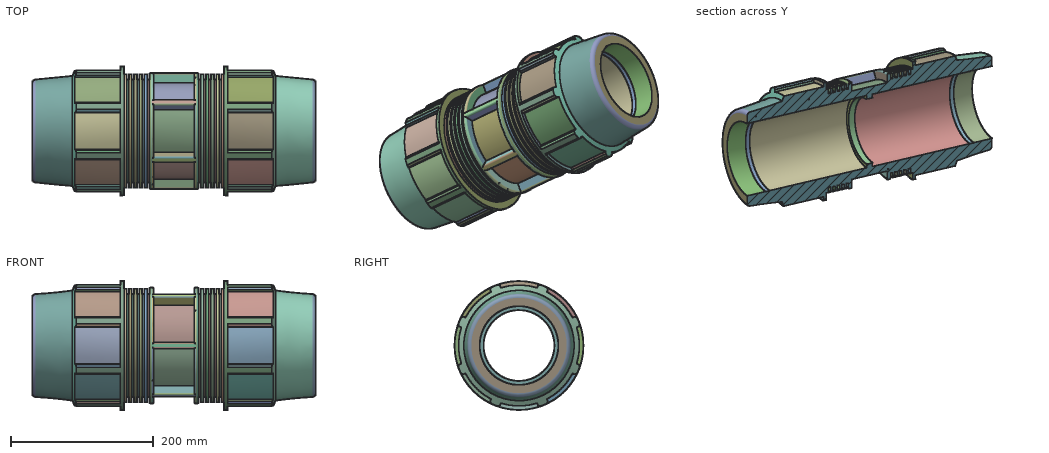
import cadquery as cq
import math


half_length = 398 / 2

socket_radius = 110 / 2
stop_radius = 99 / 2
stop_half_width = 5
groove_radius = 55.3
groove_width = 6.5
groove_depth_from_end = 30

nose_tip_radius = 71.9
nose_base_radius = 77.4
nose_length = 56.7
nose_round_radius = 5.5
shoulder_slope = 0.42
grip_radius = 84.7
flange_radius = 181 / 2
flange_start = 75
flange_end = 70
grip_rib_count = 8
grip_rib_half_width = 7.5
grip_rib_chamfer_width = 3
grip_rib_chamfer_height = 2.7

thread_core_radius = 144.8 / 2
thread_crest_radius = 159.64 / 2
thread_pitch = 7.2
thread_crest_width = 4.4
thread_count = 5
thread_gap_to_barrel = 2.8

barrel_radius = 162.9 / 2
barrel_half_length = 34.6
barrel_core_radius = 68
collar_width = 6.4
barrel_rib_count = 6
barrel_rib_half_width = 4.5
barrel_round_radius = 2.3


def disc(start, end, radius):
    """Solid cylinder on the X axis from X = start to X = end."""
    return cq.Workplane("YZ", origin=(start, 0, 0)).circle(radius).extrude(end - start)


def turned_about_x(body, angle):
    return body.rotate((0, 0, 0), (1, 0, 0), angle)


def nut_blank():
    """Turned shape of the nut on the -X side, with the grip still at full rib height."""
    shoulder_start = nose_length - half_length
    shoulder_end = shoulder_start + shoulder_slope * (flange_radius - nose_base_radius)
    blank = (
        cq.Workplane("XY")
        .moveTo(-half_length, 0)
        .lineTo(-half_length, nose_tip_radius)
        .lineTo(shoulder_start, nose_base_radius)
        .lineTo(shoulder_end, flange_radius)
        .lineTo(-flange_end, flange_radius)
        .lineTo(-flange_end, 0)
        .close()
        .revolve(360, (0, 0, 0), (1, 0, 0))
    )
    return blank.faces("<X").edges().fillet(nose_round_radius)


def grip_rib_bar():
    """Bar pointing along +Z whose sides and top chamfers bound one grip rib."""
    top_half_width = grip_rib_half_width - grip_rib_chamfer_width
    top_height = math.sqrt(flange_radius**2 - top_half_width**2)
    chamfer_start = top_height - grip_rib_chamfer_height
    ridge_height = chamfer_start + grip_rib_half_width * grip_rib_chamfer_height / grip_rib_chamfer_width
    return (
        cq.Workplane("YZ", origin=(-half_length, 0, 0))
        .moveTo(-grip_rib_half_width, socket_radius)
        .lineTo(-grip_rib_half_width, chamfer_start)
        .lineTo(0, ridge_height)
        .lineTo(grip_rib_half_width, chamfer_start)
        .lineTo(grip_rib_half_width, socket_radius)
        .close()
        .extrude(half_length - flange_start)
    )


def nut():
    """Nut on the -X side: the blank is cut down to the grip radius between the ribs."""
    recess_outer_radius = 1.2 * flange_radius
    recesses = disc(-half_length, -flange_start, recess_outer_radius)
    recesses = recesses.cut(disc(-half_length, -flange_start, grip_radius))
    bar = grip_rib_bar()
    rib_step = 360 / grip_rib_count
    for index in range(grip_rib_count):
        recesses = recesses.cut(turned_about_x(bar, (index + 0.5) * rib_step))
    return nut_blank().cut(recesses)


def thread():
    """Thread core with evenly spaced rings, from the nut flange to the barrel."""
    body = disc(-flange_end, -barrel_half_length, thread_core_radius)
    for index in range(thread_count):
        ring_end = -barrel_half_length - thread_gap_to_barrel - index * thread_pitch
        body = body.union(disc(ring_end - thread_crest_width, ring_end, thread_crest_radius))
    return body


def collar():
    """Collar at the -X end of the barrel, rounded on both rims."""
    blank = disc(-barrel_half_length, collar_width - barrel_half_length, barrel_radius)
    return blank.edges().fillet(barrel_round_radius)


def barrel_rib():
    """Barrel rib pointing along +Y, with rounded top edges that run into both collars."""
    half_run = barrel_half_length - collar_width / 2
    top_height = math.sqrt(barrel_radius**2 - barrel_rib_half_width**2)
    return (
        cq.Workplane("YZ", origin=(-half_run, 0, 0))
        .moveTo(0, -barrel_rib_half_width)
        .lineTo(top_height, -barrel_rib_half_width)
        .threePointArc((barrel_radius, 0), (top_height, barrel_rib_half_width))
        .lineTo(0, barrel_rib_half_width)
        .close()
        .extrude(2 * half_run)
        .faces(">Y")
        .edges("|X")
        .fillet(barrel_round_radius)
    )


def barrel():
    body = disc(-barrel_half_length, barrel_half_length, barrel_core_radius)
    body = body.union(collar()).union(collar().mirror("YZ"))
    rib = barrel_rib()
    for index in range(barrel_rib_count):
        body = body.union(turned_about_x(rib, index * 360 / barrel_rib_count))
    return body


def socket():
    """Cutter for the pipe socket in the -X end, with its internal groove."""
    groove_start = groove_depth_from_end - half_length
    groove = disc(groove_start, groove_start + groove_width, groove_radius)
    return disc(-half_length, -stop_half_width, socket_radius).union(groove)


end = nut().union(thread())
body = barrel().union(end).union(end.mirror("YZ"))
stop_bore = disc(-half_length, half_length, stop_radius)
result = body.cut(stop_bore).cut(socket()).cut(socket().mirror("YZ"))